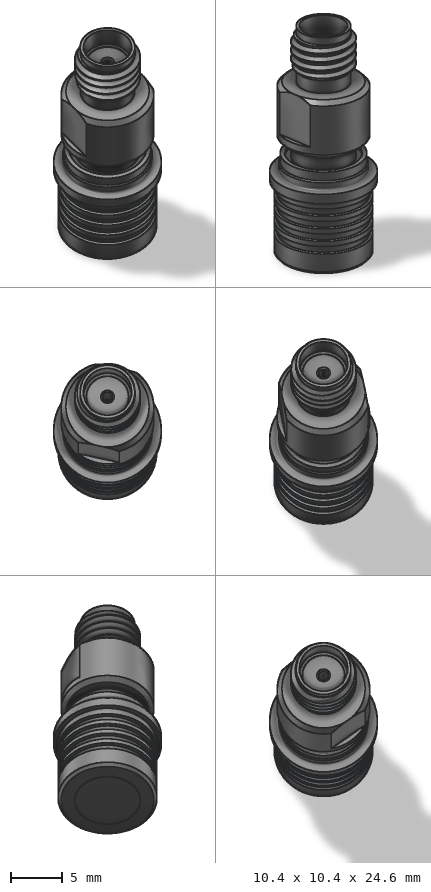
import cadquery as cq
import math

TIP_TOP = 0.05
SLEEVE_CHAMFER_TOP = 0.37
GROOVE_BOTTOM = 2.28
GROOVE_HEIGHT = 0.8
GROOVE_PITCH = 1.35
GROOVE_COUNT = 4
FLANGE_BOTTOM = 7.9
FLANGE_TOP = 8.95
STEP_TOP = 9.75
RIM_BOTTOM = 9.9
RIM_TOP = 10.83
COLLAR_BOTTOM = 12.35
FLAT_BOTTOM = 13.58
COLLAR_TOP = 18.57
THREAD_BOTTOM = 19.95
THREAD_TOP = 23.8
TOTAL_HEIGHT = 24.55

TIP_RADIUS = 3.17
GROOVE_RADIUS = 4.5
SLEEVE_RADIUS = 4.8
FLANGE_DIAMETER = 10.45
FLANGE_RADIUS = FLANGE_DIAMETER / 2
STEP_RADIUS = 4.35
RIM_RADIUS = 4.2
RECESS_RADIUS = 3.73
WAIST_RADIUS = 3.17
COLLAR_RADIUS = 4.5
NECK_RADIUS = 2.65
BORE_RADIUS = 2.33
INSULATOR_RADIUS = 2.05
PIN_RADIUS = 0.65
SOCKET_RADIUS = 0.47

STEP_FILLET = 0.2
GROOVE_WALL_SLOPE = 0.05
COLLAR_CHAMFER = 0.47
RECESS_DEPTH = 0.35
FLAT_HALF_WIDTH = 4.0
BORE_DEPTH = 1.96
INSULATOR_RECESS = 0.07
SOCKET_DEPTH = 2.95

THREAD_PITCH = 0.9
THREAD_RADIUS = 3.17
THREAD_ROOT_RADIUS = 2.68
THREAD_CREST_WIDTH = 0.12
THREAD_OVERLAP = 0.07
THREAD_FLANK_ANGLE = 30.0
THREAD_CREST_Z = 22.3


def turned_body():
    """Revolve the stepped outer profile, without grooves and thread."""
    fillet_mid = STEP_FILLET * (1 - math.sqrt(0.5))
    collar_end_radius = COLLAR_RADIUS - COLLAR_CHAMFER
    profile = (
        cq.Workplane("XZ")
        .polyline([
            (0, 0),
            (TIP_RADIUS, 0),
            (TIP_RADIUS, TIP_TOP),
            (GROOVE_RADIUS, TIP_TOP),
            (SLEEVE_RADIUS, SLEEVE_CHAMFER_TOP),
            (SLEEVE_RADIUS, FLANGE_BOTTOM),
            (FLANGE_RADIUS, FLANGE_BOTTOM),
            (FLANGE_RADIUS, FLANGE_TOP),
            (STEP_RADIUS + STEP_FILLET, FLANGE_TOP),
        ])
        .threePointArc(
            (STEP_RADIUS + fillet_mid, FLANGE_TOP + fillet_mid),
            (STEP_RADIUS, FLANGE_TOP + STEP_FILLET),
        )
        .lineTo(STEP_RADIUS, STEP_TOP)
        .lineTo(RIM_RADIUS, RIM_BOTTOM)
        .lineTo(RIM_RADIUS, RIM_TOP)
        .lineTo(RECESS_RADIUS, RIM_TOP)
        .lineTo(RECESS_RADIUS, RIM_TOP - RECESS_DEPTH)
        .lineTo(WAIST_RADIUS, RIM_TOP - RECESS_DEPTH)
        .lineTo(WAIST_RADIUS, COLLAR_BOTTOM)
        .lineTo(collar_end_radius, COLLAR_BOTTOM)
        .lineTo(COLLAR_RADIUS, COLLAR_BOTTOM + COLLAR_CHAMFER)
        .lineTo(COLLAR_RADIUS, COLLAR_TOP - COLLAR_CHAMFER)
        .lineTo(collar_end_radius, COLLAR_TOP)
        .lineTo(NECK_RADIUS, COLLAR_TOP)
        .lineTo(NECK_RADIUS, TOTAL_HEIGHT)
        .lineTo(0, TOTAL_HEIGHT)
        .close()
    )
    return profile.revolve(360, (0, 0, 0), (0, 1, 0))


def groove_cutter(bottom):
    """Ring for one grip groove, with slightly sloped walls that widen outwards."""
    top = bottom + GROOVE_HEIGHT
    return (
        cq.Workplane("XZ")
        .polyline([
            (SLEEVE_RADIUS, bottom),
            (SLEEVE_RADIUS, top),
            (GROOVE_RADIUS, top - GROOVE_WALL_SLOPE),
            (GROOVE_RADIUS, bottom + GROOVE_WALL_SLOPE),
        ])
        .close()
        .revolve(360, (0, 0, 0), (0, 1, 0))
    )


def wrench_flat_cutter(side):
    """Block that leaves a wrench flat on the collar at side * FLAT_HALF_WIDTH in Y."""
    depth = COLLAR_RADIUS - FLAT_HALF_WIDTH
    height = COLLAR_TOP - FLAT_BOTTOM
    return (
        cq.Workplane("XY", origin=(0, side * (FLAT_HALF_WIDTH + depth / 2), FLAT_BOTTOM))
        .box(2 * COLLAR_RADIUS, depth, height, centered=(True, True, False))
    )


def thread_tooth():
    """One continuous helical ridge that runs past both ends of the thread."""
    turns_below = math.ceil((THREAD_CREST_Z - THREAD_BOTTOM) / THREAD_PITCH)
    turns_above = math.ceil((THREAD_TOP - THREAD_CREST_Z) / THREAD_PITCH)
    start_z = THREAD_CREST_Z - turns_below * THREAD_PITCH
    length = (turns_below + turns_above) * THREAD_PITCH

    base_radius = THREAD_ROOT_RADIUS - THREAD_OVERLAP
    flank_height = (THREAD_RADIUS - base_radius) * math.tan(math.radians(THREAD_FLANK_ANGLE))
    crest_half = THREAD_CREST_WIDTH / 2
    base_half = crest_half + flank_height
    helix = cq.Wire.makeHelix(THREAD_PITCH, length, base_radius, cq.Vector(0, 0, start_z))
    return (
        cq.Workplane("XZ", origin=(0, 0, start_z))
        .polyline([
            (base_radius, -base_half),
            (THREAD_RADIUS, -crest_half),
            (THREAD_RADIUS, crest_half),
            (base_radius, base_half),
        ])
        .close()
        .sweep(cq.Workplane(helix), isFrenet=True)
    )


def threaded_sleeve():
    """Overlong root cylinder with the helical tooth, both trimmed by 45 degree cones at the ends."""
    height = THREAD_TOP - THREAD_BOTTOM
    root = (
        cq.Workplane("XY", origin=(0, 0, THREAD_BOTTOM - THREAD_PITCH))
        .circle(THREAD_ROOT_RADIUS)
        .extrude(height + 2 * THREAD_PITCH)
    )
    envelope_radius = THREAD_RADIUS + THREAD_OVERLAP
    envelope = (
        cq.Workplane("XY", origin=(0, 0, THREAD_BOTTOM))
        .circle(envelope_radius)
        .extrude(height)
        .faces("<Z or >Z")
        .chamfer(envelope_radius - NECK_RADIUS)
    )
    return root.union(thread_tooth()).intersect(envelope)


def socket_cavity():
    """Open bore, shallow insulator recess and the countersunk centre contact hole."""
    bore_floor = TOTAL_HEIGHT - BORE_DEPTH
    insulator_face = bore_floor - INSULATOR_RECESS
    countersink = PIN_RADIUS - SOCKET_RADIUS
    socket_bottom = insulator_face - SOCKET_DEPTH
    return (
        cq.Workplane("XZ")
        .polyline([
            (0, TOTAL_HEIGHT),
            (BORE_RADIUS, TOTAL_HEIGHT),
            (BORE_RADIUS, bore_floor),
            (INSULATOR_RADIUS, bore_floor),
            (INSULATOR_RADIUS, insulator_face),
            (PIN_RADIUS, insulator_face),
            (SOCKET_RADIUS, insulator_face - countersink),
            (SOCKET_RADIUS, socket_bottom),
            (0, socket_bottom - SOCKET_RADIUS),
        ])
        .close()
        .revolve(360, (0, 0, 0), (0, 1, 0))
    )


body = turned_body()

for index in range(GROOVE_COUNT):
    body = body.cut(groove_cutter(GROOVE_BOTTOM + index * GROOVE_PITCH))

for side in (-1, 1):
    body = body.cut(wrench_flat_cutter(side))

result = body.union(threaded_sleeve()).cut(socket_cavity())